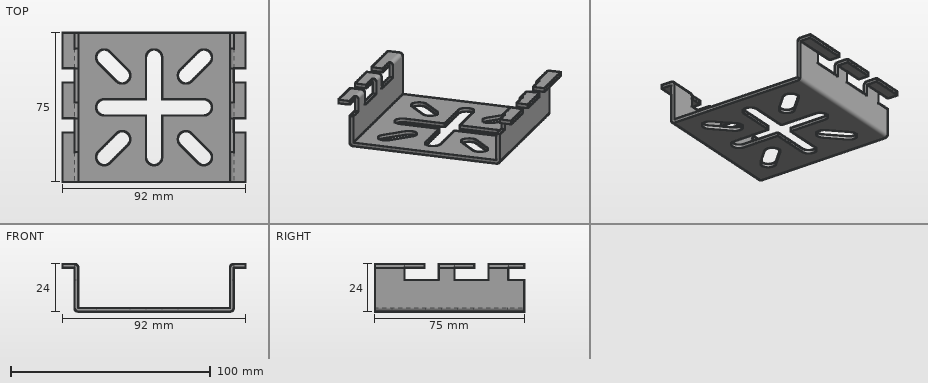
import cadquery as cq
import math

thickness = 2.0
overall_width = 92.0
depth = 75.0
height = 24.0
flange_reach = 6.0

body_width = overall_width - 2 * flange_reach
outer_x = body_width / 2
inner_x = outer_x - thickness
bend_radius = thickness
front_y = -depth / 2

low_wall_height = 16.0
hooks = [
    (0.0, 15.0, 25.0),
    (32.0, 40.0, 50.0),
    (57.0, 67.0, depth),
]

slot_width = 8.0
cross_length = 58.0
diagonal_angle = 45.0
diagonal_inner_offset = 16.0
diagonal_outer_offset = 25.0


def slab(x_start, x_end, y_start, y_end, z_start, z_end):
    """Box between the given limits, with Y measured from the front edge."""
    size = (x_end - x_start, y_end - y_start, z_end - z_start)
    corner = (x_start, front_y + y_start, z_start)
    return cq.Workplane("XY").box(*size, centered=False).translate(corner)


def make_channel():
    """Base and low side walls, with the outside of both lower bends rounded."""
    channel = slab(-outer_x, outer_x, 0, depth, 0, low_wall_height)
    channel = channel.edges("|Y and <Z").fillet(bend_radius)
    inside = slab(-inner_x, inner_x, 0, depth, thickness, low_wall_height)
    return channel.cut(inside)


def make_hook(neck_start, neck_end, flange_end):
    """Neck on the +X wall, bent outwards at the top into a flange."""
    flange_bottom = height - thickness
    neck = (
        cq.Workplane("XZ", origin=(0, front_y + neck_start, 0))
        .moveTo(inner_x, low_wall_height)
        .lineTo(inner_x, height - bend_radius)
        .radiusArc((outer_x, height), bend_radius)
        .lineTo(outer_x, low_wall_height)
        .close()
        .extrude(neck_start - neck_end)
    )
    flange = slab(outer_x, outer_x + flange_reach, neck_start, flange_end, flange_bottom, height)
    return neck.union(flange)


def make_slot(length, angle, x=0.0, y=0.0):
    """Cutter for a round-ended slot through the base."""
    cutter = cq.Workplane("XY").slot2D(length, slot_width, angle).extrude(thickness)
    return cutter.translate((x, y, 0))


def cut_slots(part):
    """Central cross and one slot running out towards each corner."""
    for angle in (0, 90):
        part = part.cut(make_slot(cross_length, angle))

    centre_offset = (diagonal_inner_offset + diagonal_outer_offset) / 2
    arc_spacing = (diagonal_outer_offset - diagonal_inner_offset) * math.sqrt(2)
    for x_side in (-1, 1):
        for y_side in (-1, 1):
            cutter = make_slot(
                arc_spacing + slot_width,
                diagonal_angle * x_side * y_side,
                x_side * centre_offset,
                y_side * centre_offset,
            )
            part = part.cut(cutter)
    return part


channel = make_channel()
for neck_start, neck_end, flange_end in hooks:
    hook = make_hook(neck_start, neck_end, flange_end)
    channel = channel.union(hook).union(hook.mirror("YZ"))

result = cut_slots(channel)